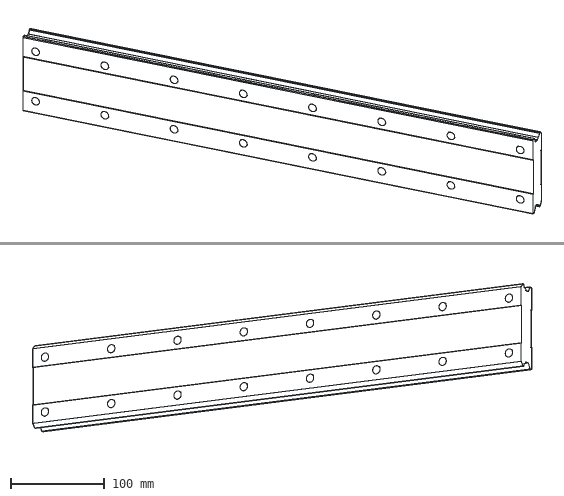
import cadquery as cq
import math

length = 590.0
thickness = 24.0
height = 90.0

back_chamfer = 4.0
crest_width = 2.0
groove_depth = 6.0
groove_floor_width = 5.0
groove_front_slope_width = 3.5
lip_chamfer = 0.9

raceway_radius = 3.25
raceway_inset = 0.5

relief_width = 41.5
relief_depth = 1.0

hole_diameter = 9.0
holes_per_row = 8
hole_end_margin = 15.0
hole_pitch = (length - 2 * hole_end_margin) / (holes_per_row - 1)
hole_row_spacing = 60.0


def upper_half_bar():
    """Upper half of the bar (Z >= 0), extruded along X from its YZ outline."""
    back_y = thickness / 2
    front_y = -thickness / 2
    top_z = height / 2
    relief_z = relief_width / 2

    crest_back_y = back_y - back_chamfer
    crest_front_y = crest_back_y - crest_width
    floor_back_y = crest_front_y - groove_depth
    floor_front_y = floor_back_y - groove_floor_width
    lip_back_y = floor_front_y - groove_front_slope_width
    floor_z = top_z - groove_depth

    raceway_start = (crest_front_y - raceway_inset, top_z - raceway_inset)
    raceway_end = (raceway_start[0] - raceway_radius, raceway_start[1] - raceway_radius)
    raceway_centre = (raceway_end[0], raceway_start[1])
    diagonal = raceway_radius * math.sqrt(0.5)
    raceway_middle = (raceway_centre[0] + diagonal, raceway_centre[1] - diagonal)

    return (
        cq.Workplane("YZ", origin=(-length / 2, 0, 0))
        .moveTo(back_y - relief_depth, 0)
        .lineTo(back_y - relief_depth, relief_z)
        .lineTo(back_y, relief_z)
        .lineTo(back_y, top_z - back_chamfer)
        .lineTo(crest_back_y, top_z)
        .lineTo(crest_front_y, top_z)
        .lineTo(*raceway_start)
        .threePointArc(raceway_middle, raceway_end)
        .lineTo(floor_back_y, floor_z)
        .lineTo(floor_front_y, floor_z)
        .lineTo(lip_back_y, top_z)
        .lineTo(front_y + lip_chamfer, top_z)
        .lineTo(front_y, top_z - lip_chamfer)
        .lineTo(front_y, relief_z)
        .lineTo(front_y + relief_depth, relief_z)
        .lineTo(front_y + relief_depth, 0)
        .close()
        .extrude(length)
    )


def mounting_holes():
    """Cylinders for both hole rows, running through the thickness."""
    return (
        cq.Workplane("XZ")
        .rarray(hole_pitch, hole_row_spacing, holes_per_row, 2)
        .circle(hole_diameter / 2)
        .extrude(thickness, both=True)
    )


upper_half = upper_half_bar()
bar = upper_half.union(upper_half.mirror("XY")).clean()
result = bar.cut(mounting_holes())